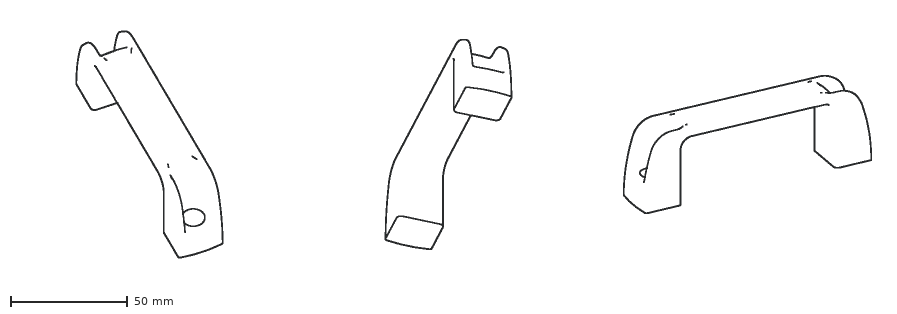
import cadquery as cq
import math

LENGTH = 111.81
WIDTH = 21.0
HEIGHT = 35.95
HALF_LENGTH = LENGTH / 2
HALF_WIDTH = WIDTH / 2
CLEARANCE = 5.0

CROWN_RADIUS = 40.0
LEG_CROWN_RADIUS = 60.0
LEG_ARC_RADIUS = 88.0
SHOULDER_RADIUS = 11.0
OUTER_EDGE_RADIUS = 1.0

OPENING_HALF_LENGTH = 37.3
GRIP_BOTTOM = 30.2
OPENING_CORNER_RADIUS = 5.0
INNER_EDGE_RADIUS = 2.0

POCKET_HALF_WIDTH = 6.85
POCKET_FLOOR = 13.0
POCKET_BACK = -40.0
POCKET_CORNER_RADIUS = 1.0
SADDLE_RADIUS = 7.4
MOUTH_RADIUS = 0.94

COVER_DIAMETER = 10.0
COVER_HEIGHT = 1.0
COVER_X = -46.75


def arc_sag(radius, offset):
    """Drop of an arc, measured at a distance from its crown."""
    return radius - math.sqrt(radius**2 - offset**2)


def fillet_at(part, radius, points):
    """Round the edges whose centres are nearest to the points, and the edges tangent to them."""
    edges = [part.edges(cq.NearestToPointSelector(point)).val() for point in points]
    return part.newObject(edges).fillet(radius)


def both_sides(x, y, z):
    """A point and its mirror image across the middle of the width."""
    return [(x, -y, z), (x, y, z)]


def arched_bar(length, half_width, flat_z, middle_z, edge_z):
    """Bar from X = 0 toward -X, flat at one height and an arc across Y at the other."""
    return (
        cq.Workplane("YZ")
        .moveTo(-half_width, flat_z)
        .lineTo(half_width, flat_z)
        .lineTo(half_width, edge_z)
        .threePointArc((0, middle_z), (-half_width, edge_z))
        .close()
        .extrude(-length)
    )


def leg_envelope():
    """Body of revolution carrying the outer leg face, curved both ways."""
    top = HEIGHT + CLEARANCE
    middle_radius = LEG_CROWN_RADIUS - arc_sag(LEG_ARC_RADIUS, top / 2)
    top_radius = LEG_CROWN_RADIUS - arc_sag(LEG_ARC_RADIUS, top)
    return (
        cq.Workplane("XZ")
        .lineTo(-LEG_CROWN_RADIUS, 0)
        .threePointArc((-middle_radius, top / 2), (-top_radius, top))
        .lineTo(0, top)
        .close()
        .revolve(360, (0, 0, 0), (0, 1, 0))
        .translate((LEG_CROWN_RADIUS - HALF_LENGTH, 0, 0))
    )


def outer_body():
    """Left half of the handle without its opening and pocket."""
    edge_z = HEIGHT - arc_sag(CROWN_RADIUS, HALF_WIDTH)
    bar = arched_bar(HALF_LENGTH + CLEARANCE, HALF_WIDTH, 0, HEIGHT, edge_z)
    body = bar.intersect(leg_envelope())
    shoulder_x = arc_sag(LEG_ARC_RADIUS, HEIGHT) - HALF_LENGTH
    body = fillet_at(body, SHOULDER_RADIUS, [(shoulder_x, 0, HEIGHT)])
    return fillet_at(body, OUTER_EDGE_RADIUS, both_sides(-HALF_LENGTH / 2, HALF_WIDTH, edge_z))


def cut_opening(body):
    """Cut the hand opening and round its long edges."""
    half_width = HALF_WIDTH + CLEARANCE
    edge_z = GRIP_BOTTOM + arc_sag(CROWN_RADIUS, half_width)
    opening = arched_bar(OPENING_HALF_LENGTH, half_width, -CLEARANCE, GRIP_BOTTOM, edge_z)
    opening = fillet_at(opening, OPENING_CORNER_RADIUS, [(-OPENING_HALF_LENGTH, 0, GRIP_BOTTOM)])
    leg_edges = both_sides(-OPENING_HALF_LENGTH, HALF_WIDTH, GRIP_BOTTOM / 2)
    return fillet_at(body.cut(opening), INNER_EDGE_RADIUS, leg_edges)


def cut_pocket(body):
    """Cut the pocket that is open to the top and to the outer leg face."""
    length = HALF_LENGTH + CLEARANCE + POCKET_BACK
    pocket = (
        cq.Workplane("XY")
        .box(length, 2 * POCKET_HALF_WIDTH, HEIGHT, centered=(False, True, False))
        .translate((POCKET_BACK - length, 0, POCKET_FLOOR))
    )
    body = body.cut(pocket)
    body = fillet_at(body, SADDLE_RADIUS, [(POCKET_BACK, 0, HEIGHT)])

    mouth_x = arc_sag(LEG_ARC_RADIUS, POCKET_FLOOR) - HALF_LENGTH
    floor_middle_x = (mouth_x + POCKET_BACK) / 2
    wall_middle_z = (POCKET_FLOOR + HEIGHT - SADDLE_RADIUS) / 2
    inner_edges = [(POCKET_BACK, 0, POCKET_FLOOR)]
    inner_edges += both_sides(floor_middle_x, POCKET_HALF_WIDTH, POCKET_FLOOR)
    inner_edges += both_sides(POCKET_BACK, POCKET_HALF_WIDTH, wall_middle_z)
    body = fillet_at(body, POCKET_CORNER_RADIUS, inner_edges)
    return fillet_at(body, MOUTH_RADIUS, [(mouth_x, 0, POCKET_FLOOR)])


def screw_cover():
    """Shallow dome on the pocket floor, with a root sunk into the floor by the same height."""
    radius = COVER_DIAMETER / 2
    sphere_radius = (radius**2 + COVER_HEIGHT**2) / (2 * COVER_HEIGHT)
    midway_height = COVER_HEIGHT - arc_sag(sphere_radius, radius / 2)
    return (
        cq.Workplane("XZ")
        .moveTo(0, -COVER_HEIGHT)
        .lineTo(radius, -COVER_HEIGHT)
        .lineTo(radius, 0)
        .threePointArc((radius / 2, midway_height), (0, COVER_HEIGHT))
        .close()
        .revolve(360, (0, 0, 0), (0, 1, 0))
        .translate((COVER_X, 0, POCKET_FLOOR))
    )


half = cut_pocket(cut_opening(outer_body())).union(screw_cover())
result = half.union(half.mirror("YZ"))